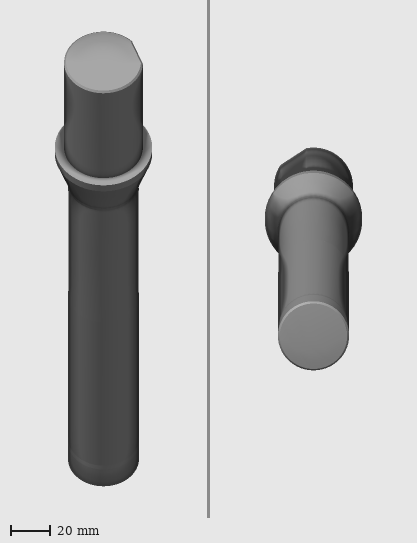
import cadquery as cq
import math

total_length = 326.0
joint_z = 136.0

shank_diameter = 40.0
shank_chamfer = 1.0
flat_depth = 1.5
flat_to_collar = 4.2
collar_diameter = 49.5
collar_top_z = 256.0
collar_height = 5.0
collar_bottom_z = collar_top_z - collar_height

neck_diameter = 36.0
cone_bottom_z = 228.0
cone_blend_radius = 8.0
selection_margin = 0.3
waist_top_z = 221.5
waist_diameter = 35.5

head_diameter = 36.2
head_top_z = 16.0
head_taper_height = 3.0
head_chamfer = 1.0
dome_height = 1.3

shank_radius = shank_diameter / 2
collar_radius = collar_diameter / 2
neck_radius = neck_diameter / 2
head_radius = head_diameter / 2
waist_radius = waist_diameter / 2


def make_holder():
    """Flatted shank, collar, cone and shallow concave waist, turned about Z."""
    waist_middle_z = (joint_z + waist_top_z) / 2
    outline = (
        cq.Workplane("XZ")
        .moveTo(0, joint_z)
        .lineTo(neck_radius, joint_z)
        .threePointArc((waist_radius, waist_middle_z), (neck_radius, waist_top_z))
        .lineTo(neck_radius, cone_bottom_z)
        .lineTo(collar_radius, collar_bottom_z)
        .lineTo(collar_radius, collar_top_z)
        .lineTo(shank_radius, collar_top_z)
        .lineTo(shank_radius, total_length)
        .lineTo(0, total_length)
        .close()
    )
    body = outline.revolve(360, (0, 0, 0), (0, 1, 0))
    root_size = neck_radius + selection_margin
    cone_root = cq.selectors.BoxSelector(
        (-root_size, -root_size, cone_bottom_z - selection_margin),
        (root_size, root_size, cone_bottom_z + selection_margin),
        boundingbox=True,
    )
    body = body.edges(cone_root).fillet(cone_blend_radius)

    flat_bottom_z = collar_top_z + flat_to_collar
    flat_cut = (
        cq.Workplane("XY", origin=(0, shank_radius - flat_depth, flat_bottom_z))
        .box(shank_diameter, shank_diameter, total_length - flat_bottom_z, centered=(True, False, False))
    )
    return body.cut(flat_cut).faces(">Z").chamfer(shank_chamfer)


def make_bar():
    """Plain bar that widens by a short taper into its head, which ends in a low dome."""
    rim_radius = head_radius - head_chamfer
    dome_radius = (rim_radius**2 + dome_height**2) / (2 * dome_height)
    half_rim = rim_radius / 2
    half_rim_z = dome_radius - math.sqrt(dome_radius**2 - half_rim**2)
    outline = (
        cq.Workplane("XZ")
        .threePointArc((half_rim, half_rim_z), (rim_radius, dome_height))
        .lineTo(head_radius, dome_height + head_chamfer)
        .lineTo(head_radius, head_top_z)
        .lineTo(neck_radius, head_top_z + head_taper_height)
        .lineTo(neck_radius, joint_z)
        .lineTo(0, joint_z)
        .close()
    )
    return outline.revolve(360, (0, 0, 0), (0, 1, 0))


holder = make_holder()
bar = make_bar()

result = cq.Compound.makeCompound([holder.val(), bar.val()])